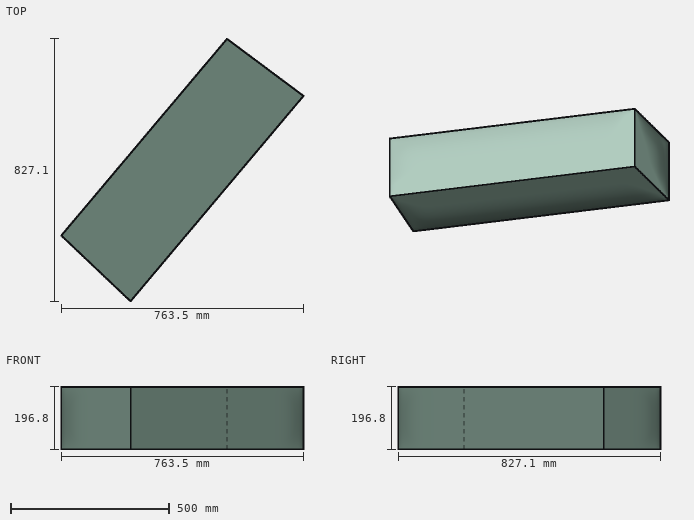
import cadquery as cq
import math

SIZE_X = 763.45
SIZE_Y = 827.06
HEIGHT = 196.85

LONG_SIDE_ANGLE = 49.89

END_OVERHANG = 17.85

angle = math.radians(LONG_SIDE_ANGLE)
cosine = math.cos(angle)
sine = math.sin(angle)

determinant = sine**2 - cosine**2
mean_length = (SIZE_Y * sine - SIZE_X * cosine) / determinant
width = (SIZE_X * sine - SIZE_Y * cosine) / determinant


def make_keystone_block():
    """Symmetric trapezoid prism lying along +X, with its longer side at -Y."""
    half_long = (mean_length + END_OVERHANG) / 2
    half_short = (mean_length - END_OVERHANG) / 2
    half_width = width / 2
    return (
        cq.Workplane("XY")
        .moveTo(-half_long, -half_width)
        .lineTo(half_long, -half_width)
        .lineTo(half_short, half_width)
        .lineTo(-half_short, half_width)
        .close()
        .extrude(HEIGHT)
    )


result = make_keystone_block().rotate((0, 0, 0), (0, 0, 1), LONG_SIDE_ANGLE)